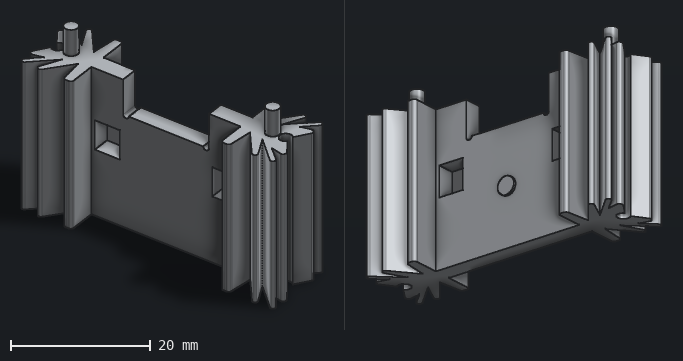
import cadquery as cq
import math


body_height = 25.4
web_thickness = 2.95
half_length = 22.5
half_depth = 6.35

fin_inner_x = 13.15
fin_outer_x = 14.7
fin_tip_radius = 0.55

valley_1 = (15.15, 1.95)
valley_2 = (17.65, 2.35)
valley_3 = (20.05, 3.4)

long_fin_radius = 0.45
long_fin_tip = (18.9, half_depth - long_fin_radius)
thin_fin_radius = 0.45
thin_fin_tip = (21.9, 5.7)
end_fin_radius = 0.55
end_fin_tip = (half_length - end_fin_radius, 3.3)

groove_x = 20.05
groove_radius = 1.05
groove_lip_y = 0.68

pin_x = 17.78
pin_diameter = 2.3
pin_length = 4.5

notch_width = 15.1
notch_floor_z = 19.4
relief_radius = 0.5

window_x = 10.35
window_width = 4.35
window_height = 5.05
window_bottom_z = 11.4

boss_diameter = 2.95
boss_height = 0.4
boss_z = notch_floor_z / 2


def point_on_circle(center, radius, angle):
    return (center[0] + radius * math.cos(angle), center[1] + radius * math.sin(angle))


def tangent_angle(start, center, radius, side):
    """Angle on a circle where a line from start touches it; side is +1 or -1."""
    dx = start[0] - center[0]
    dy = start[1] - center[1]
    return math.atan2(dy, dx) + side * math.acos(radius / math.hypot(dx, dy))


def add_slanted_fin(outline, center, radius, valley_before, valley_after):
    """Continue the outline clockwise from one valley, around a round fin tip, to the next valley."""
    start_angle = tangent_angle(valley_before, center, radius, -1)
    end_angle = tangent_angle(valley_after, center, radius, 1)
    sweep = (start_angle - end_angle) % (2 * math.pi)
    first = point_on_circle(center, radius, start_angle)
    middle = point_on_circle(center, radius, start_angle - sweep / 2)
    last = point_on_circle(center, radius, end_angle)
    return outline.lineTo(*first).threePointArc(middle, last).lineTo(*valley_after)


def add_straight_fin(outline):
    """Continue the outline up the inner face of the straight fin and over its rounded corners."""
    corner_y = half_depth - fin_tip_radius
    inner_center = (fin_inner_x + fin_tip_radius, corner_y)
    outer_center = (fin_outer_x - fin_tip_radius, corner_y)
    return (
        outline.lineTo(fin_inner_x, corner_y)
        .threePointArc(
            point_on_circle(inner_center, fin_tip_radius, math.radians(135)),
            (inner_center[0], half_depth),
        )
        .lineTo(outer_center[0], half_depth)
        .threePointArc(
            point_on_circle(outer_center, fin_tip_radius, math.radians(45)),
            (fin_outer_x, corner_y),
        )
        .lineTo(*valley_1)
    )


def make_body():
    """Outline a quarter of the cross-section, mirror it to one full end, extrude, and mirror that end."""
    groove_lip_angle = math.asin(groove_lip_y / groove_radius)
    groove_center = (groove_x, 0)
    groove_lip = point_on_circle(groove_center, groove_radius, groove_lip_angle)

    outline = cq.Workplane("XY").lineTo(0, web_thickness / 2).lineTo(fin_inner_x, web_thickness / 2)
    outline = add_straight_fin(outline)
    outline = add_slanted_fin(outline, long_fin_tip, long_fin_radius, valley_1, valley_2)
    outline = add_slanted_fin(outline, thin_fin_tip, thin_fin_radius, valley_2, valley_3)
    outline = add_slanted_fin(outline, end_fin_tip, end_fin_radius, valley_3, groove_lip)
    outline = outline.lineTo(*groove_center)

    groove = cq.Workplane("XY").center(*groove_center).circle(groove_radius).extrude(body_height)
    column_and_half_web = outline.mirrorX().extrude(body_height).cut(groove)
    return column_and_half_web.union(column_and_half_web.mirror("YZ"))


def make_notch():
    """Volume removed from the top of the web, including the two corner reliefs."""
    notch_depth = body_height - notch_floor_z
    notch = (
        cq.Workplane("XY", origin=(0, 0, notch_floor_z))
        .box(notch_width, web_thickness, notch_depth, centered=(True, True, False))
    )
    relief_x = notch_width / 2 - relief_radius
    reliefs = (
        cq.Workplane("XZ", origin=(0, web_thickness / 2, notch_floor_z))
        .pushPoints([(-relief_x, 0), (relief_x, 0)])
        .circle(relief_radius)
        .extrude(web_thickness)
    )
    return notch.union(reliefs)


def make_windows():
    """Pair of rectangular cutters for the windows."""
    return (
        cq.Workplane("XZ", origin=(0, web_thickness / 2, window_bottom_z + window_height / 2))
        .pushPoints([(-window_x, 0), (window_x, 0)])
        .rect(window_width, window_height)
        .extrude(web_thickness)
    )


def make_pins():
    """Solder pins standing on top of the two columns."""
    return (
        cq.Workplane("XY", origin=(0, 0, body_height))
        .pushPoints([(-pin_x, 0), (pin_x, 0)])
        .circle(pin_diameter / 2)
        .extrude(pin_length)
    )


def make_boss():
    """Boss on the +Y face of the web, rooted at the middle of the web."""
    return (
        cq.Workplane("XZ", origin=(0, 0, boss_z))
        .circle(boss_diameter / 2)
        .extrude(-(web_thickness / 2 + boss_height))
    )


result = make_body().cut(make_notch()).cut(make_windows()).union(make_pins()).union(make_boss())